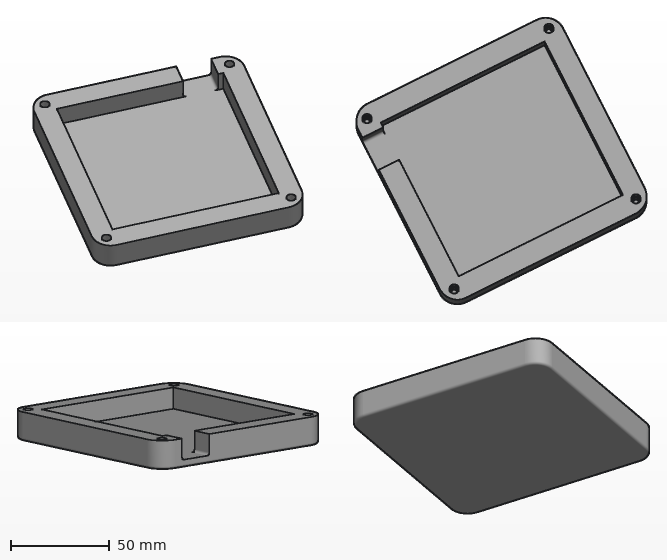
import cadquery as cq

length = 115.9
width = 111.4
height = 15.0
corner_radius = 10.0
bottom_edge_radius = 1.5

wall = 11.5
back_wall = 11.7
notch_post_step = 0.3
floor_thickness = 3.9
pocket_depth = height - floor_thickness

notch_width = 18.4
notch_edge_inset = 14.5
notch_corner_radius = 1.5

hole_inset_x = 6.5
hole_inset_y = 6.7
hole_diameter = 4.8
hole_depth = pocket_depth / 2
pilot_diameter = 3.0
pilot_depth = pocket_depth


def make_body():
    body = cq.Workplane("XY").box(length, width, height, centered=(True, True, False))
    body = body.edges("|Z").fillet(corner_radius)
    return body.faces("<Z").edges().fillet(bottom_edge_radius)


def make_pocket():
    left = -length / 2 + wall
    right = length / 2 - wall
    front = -width / 2 + wall
    back = width / 2 - back_wall
    post_front = width / 2 - notch_edge_inset - notch_corner_radius
    return (
        cq.Workplane("XY")
        .workplane(offset=floor_thickness)
        .moveTo(left, front)
        .lineTo(right, front)
        .lineTo(right, back)
        .lineTo(left + notch_post_step, back)
        .lineTo(left + notch_post_step, post_front)
        .lineTo(left, post_front)
        .close()
        .extrude(pocket_depth)
    )


def make_notch():
    notch_center_y = width / 2 - notch_edge_inset - notch_width / 2
    notch = (
        cq.Workplane("XY")
        .box(wall + notch_post_step, notch_width, pocket_depth, centered=(False, True, False))
        .translate((-length / 2, notch_center_y, floor_thickness))
    )
    return notch.faces("<Z").edges("|X").fillet(notch_corner_radius)


def make_corner_holes(diameter, depth):
    return (
        cq.Workplane("XY")
        .workplane(offset=height - depth)
        .rect(length - 2 * hole_inset_x, width - 2 * hole_inset_y, forConstruction=True)
        .vertices()
        .circle(diameter / 2)
        .extrude(depth)
    )


result = (
    make_body()
    .cut(make_pocket())
    .cut(make_notch())
    .cut(make_corner_holes(hole_diameter, hole_depth))
    .cut(make_corner_holes(pilot_diameter, pilot_depth))
)